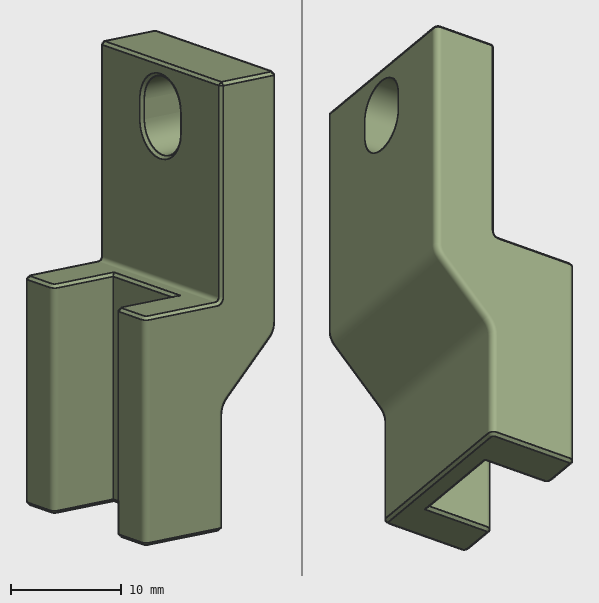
import cadquery as cq

width = 18.0
depth = 15.0
height = 42.05

plate_thickness = 6.4
shelf_height = 21.48
back_step = 6.0
ramp_top = 17.65
ramp_radius = 2.0
shelf_corner_radius = 0.4

channel_width = 9.3
channel_depth = 6.8

slot_width = 5.5
slot_height = 7.4
slot_from_top = 5.1
upright_angle = 90

edge_radius = 0.6
edge_chamfer = 0.3
chamfer_angle = 45

half_width = width / 2
plate_front = depth - plate_thickness
foot_back = depth - back_step
ramp_bottom = ramp_top - back_step
tolerance = 0.005


def box_around(x_limit, y_range, z_range):
    """Selector for edges centred in a box that is symmetric in X."""
    low = (-x_limit, y_range[0] - tolerance, z_range[0] - tolerance)
    high = (x_limit, y_range[1] + tolerance, z_range[1] + tolerance)
    return cq.selectors.BoxSelector(low, high)


def make_body():
    """Side profile extruded across the width, with the bends in it rounded."""
    outline = [
        (0, 0),
        (foot_back, 0),
        (foot_back, ramp_bottom),
        (depth, ramp_top),
        (depth, height),
        (plate_front, height),
        (plate_front, shelf_height),
        (0, shelf_height),
    ]
    body = cq.Workplane("YZ").polyline(outline).close().extrude(half_width, both=True)
    bends = [
        (depth, ramp_top, ramp_radius),
        (foot_back, ramp_bottom, ramp_radius),
        (plate_front, shelf_height, shelf_corner_radius),
    ]
    for y, z, radius in bends:
        body = body.edges(box_around(tolerance, (y, y), (z, z))).fillet(radius)
    return body


def cut_channel(body):
    """Open channel along the full height of the foot, leaving two legs."""
    channel = cq.Workplane("XY").box(
        channel_width, channel_depth, shelf_height, centered=(True, False, False)
    )
    return body.cut(channel)


def round_upright_edges(body):
    """Round the leg corners and the outer back edges, which follow the ramp."""
    leg_edges = box_around(width, (0, 0), (0, shelf_height))
    body = body.edges("|Z").edges(leg_edges).fillet(edge_radius)
    lowest_back_edges = box_around(width, (foot_back, foot_back), (0, ramp_bottom))
    return body.edges("|Z").edges(lowest_back_edges).fillet(edge_radius)


def chamfer_rims(body):
    """Break the bottom rim, the top rim, the shelf rim and the side edges of the plate front."""
    corner_front = plate_front - shelf_corner_radius
    corner_top = shelf_height + shelf_corner_radius
    shelf_rim = box_around(width, (0, corner_front - 2 * tolerance), (shelf_height, shelf_height))
    corner_arcs = box_around(width, (corner_front, plate_front), (shelf_height, corner_top))
    plate_sides = box_around(width, (plate_front, plate_front), (corner_top, height))
    return (
        body.faces("<Z").edges()
        .add(body.faces(">Z").edges())
        .add(body.edges(shelf_rim))
        .add(body.edges("%CIRCLE").edges(corner_arcs))
        .add(body.edges("|Z").edges(plate_sides))
        .chamfer(edge_chamfer)
    )


def cut_slot(body):
    """Upright slotted hole through the plate, chamfered at the front."""
    slot_center = height - slot_from_top
    front = cq.Workplane("XZ", origin=(0, plate_front, slot_center))
    hole = front.slot2D(slot_height, slot_width, upright_angle).extrude(-plate_thickness)
    mouth_height = slot_height + 2 * edge_chamfer
    mouth_width = slot_width + 2 * edge_chamfer
    mouth = front.slot2D(mouth_height, mouth_width, upright_angle)
    mouth = mouth.extrude(-edge_chamfer, taper=chamfer_angle)
    return body.cut(hole).cut(mouth)


body = make_body()
body = cut_channel(body)
body = round_upright_edges(body)
body = chamfer_rims(body)
result = cut_slot(body)